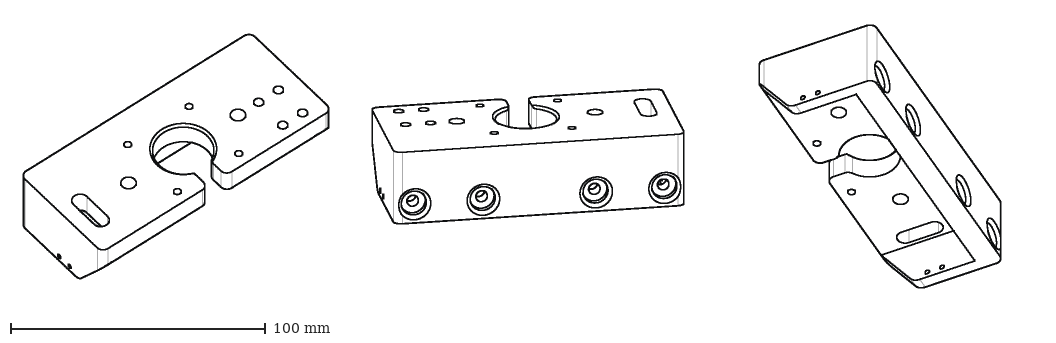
import cadquery as cq
width = 51.0
length = 116.0
height = 30.0

plate_thickness = 10.0
back_wall = 10.0
end_wall = 5.0
corner_radius = 3.0
plate_underside = height - plate_thickness

end_wall_foot = 36.7
foot_radius = 5.0

bore_x = 30.0
bore_diameter = 24.1
bore_chamfer = 1.0
entry_width = 8.9

motor_hole_pitch = 31.0
motor_hole_diameter = 3.0
large_hole_offset = 27.6
large_hole_diameter = 6.0
group_diameter = 4.0
group_pitch_x = 15.1
group_pitch_y = 10.0
group_centre_y = 43.0
slot_x = 31.5
slot_y = -48.0
slot_length = 19.5
slot_width = 6.6

screw_positions_y = (-50.0, -22.5, 22.5, 50.0)
screw_z = 7.9
screw_diameter = 4.5
counterbore_diameter = 10.0
counterbore_depth = 4.0
mouth_diameter = 13.0
mouth_depth = (mouth_diameter - counterbore_diameter) / 2

pin_positions_x = (24.4, 30.9)
pin_z = 2.7
pin_diameter = 1.9


def bracket_body():
    """Sloped block hollowed out below the plate, leaving a back wall and two end walls."""
    block = (
        cq.Workplane("XZ")
        .moveTo(0, 0)
        .lineTo(end_wall_foot, 0)
        .lineTo(width, plate_underside)
        .lineTo(width, height)
        .lineTo(0, height)
        .close()
        .extrude(length / 2, both=True)
    )
    foot_edge = cq.selectors.NearestToPointSelector((end_wall_foot, 0, 0))
    block = block.edges(foot_edge).fillet(foot_radius)
    block = block.edges("|Z").fillet(corner_radius)
    cavity = cq.Workplane("XY").box(
        width, length - 2 * end_wall, plate_underside, centered=(False, True, False)
    )
    return block.cut(cavity.translate((back_wall, 0, 0)))


def cut_motor_opening(body):
    """Cut the bore and its entry slot, round the slot corners and chamfer the bore rim."""
    bore_radius = bore_diameter / 2
    plate_base = cq.Workplane("XY", origin=(bore_x, 0, plate_underside))
    bore = plate_base.circle(bore_radius).extrude(plate_thickness)
    entry = cq.Workplane("XY").box(
        width - bore_x, entry_width, plate_thickness, centered=(False, True, False)
    )
    body = body.cut(bore).cut(entry.translate((bore_x, 0, plate_underside)))
    entry_corners = cq.selectors.BoxSelector(
        (bore_x, -entry_width, 0), (2 * width, entry_width, height)
    )
    body = body.edges("|Z").edges(entry_corners).fillet(corner_radius)
    rim = cq.Solid.makeCone(
        bore_radius,
        bore_radius + bore_chamfer,
        bore_chamfer,
        cq.Vector(bore_x, 0, height - bore_chamfer),
    )
    return body.cut(cq.Workplane(obj=rim))


def plate_top(x, y):
    """Workplane on the top face, centred on the given point."""
    return cq.Workplane("XY", origin=(x, y, height))


def cut_plate_holes(body):
    """Cut the round holes and the adjusting slot through the top plate."""
    motor_holes = (
        plate_top(bore_x, 0)
        .rarray(motor_hole_pitch, motor_hole_pitch, 2, 2)
        .circle(motor_hole_diameter / 2)
    )
    large_holes = (
        plate_top(bore_x, 0)
        .pushPoints([(0, -large_hole_offset), (0, large_hole_offset)])
        .circle(large_hole_diameter / 2)
    )
    hole_group = (
        plate_top(bore_x + group_pitch_x / 2, group_centre_y)
        .rarray(group_pitch_x, group_pitch_y, 2, 2)
        .circle(group_diameter / 2)
    )
    slot = plate_top(slot_x, slot_y).slot2D(slot_length, slot_width)
    for outline in (motor_holes, large_holes, hole_group, slot):
        body = body.cut(outline.extrude(-plate_thickness))
    return body


def cut_screw_holes(body):
    """Cut the stepped screw holes, entering from the -X face."""
    profile = (
        cq.Workplane("XY")
        .moveTo(0, 0)
        .lineTo(0, mouth_diameter / 2)
        .lineTo(mouth_depth, counterbore_diameter / 2)
        .lineTo(counterbore_depth, counterbore_diameter / 2)
        .lineTo(counterbore_depth, screw_diameter / 2)
        .lineTo(back_wall, screw_diameter / 2)
        .lineTo(back_wall, 0)
        .close()
    )
    cutter = profile.revolve(360, (0, 0, 0), (1, 0, 0))
    for y in screw_positions_y:
        body = body.cut(cutter.translate((0, y, screw_z)))
    return body


def cut_pin_holes(body):
    """Cut the small holes along Y through both end walls."""
    pins = (
        cq.Workplane("XZ")
        .pushPoints([(x, pin_z) for x in pin_positions_x])
        .circle(pin_diameter / 2)
        .extrude(length / 2, both=True)
    )
    return body.cut(pins)


result = bracket_body()
result = cut_motor_opening(result)
result = cut_plate_holes(result)
result = cut_screw_holes(result)
result = cut_pin_holes(result)